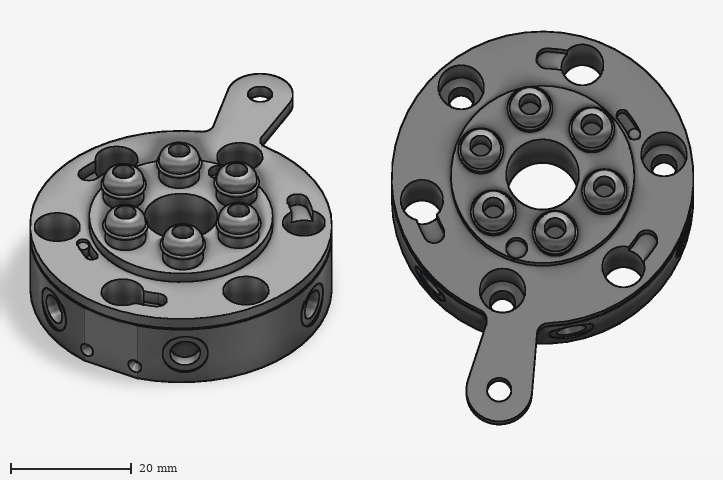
import cadquery as cq
import math

body_radius = 25.0
body_top = 11.15
seal_radius = 24.85
lid_bottom = 11.35
lid_top = 13.45
centre_bore_dia = 12.0
front_flat_width = 9.95

tab_angle = 7.7
tab_reach = 37.1
tab_end_radius = 5.45
tab_taper = 6.5
tab_root_radius = 20.15
tab_hole_dia = 4.0
tab_fillet = 1.95

disc_dia = 30.4
disc_top = 15.25
locator_dia = 3.5
locator_reach = 13.3

stud_count = 6
stud_reach = 10.8
stud_radius = 3.35
stud_bore_radius = 1.75
bead_radius = 0.37
bead_middle = 17.9
dome_start = 18.7
dome_radius = 1.95

clearance_reach = 20.35
screw_reach = 20.5
clearance_angles = (30, 150, 270)
clearance_dia = 7.0
key_slot_width = 3.5
key_slot_sweep = 16.8
screw_angles = (90, 210, 330)
screw_dia = 4.2
screw_head_dia = 7.5
screw_head_depth = 8.05

index_reach = 16.95
index_width = 2.0
index_start = 225
index_sweep = 12.5
pin_recess = 0.6

port_count = 6
port_height = 5.9
port_face_dia = 7.5
port_face_reach = 24.65
port_dia = 5.0
port_depth = 2.1
seat_angles = (259.7, 280.3)
seat_height = 2.4
seat_dia = 2.5
seat_tip_dia = 1.1
seat_depth = 1.75


def polar(reach, angle):
    """Point at a distance from the Z axis and an angle in degrees from +X."""
    return (reach * math.cos(math.radians(angle)), reach * math.sin(math.radians(angle)))


def cylinder(dia, bottom, top, centre=(0, 0)):
    return cq.Workplane("XY", origin=(*centre, bottom)).circle(dia / 2).extrude(top - bottom)


def radial_plane(angle, reach, height):
    """Workplane facing outward from the Z axis."""
    direction = polar(1, angle)
    origin = (*polar(reach, angle), height)
    tangent = (-direction[1], direction[0], 0)
    return cq.Workplane(cq.Plane(origin, tangent, (*direction, 0)))


def arc_slot(reach, width, start, sweep, bottom, top):
    """Round-ended slot that follows a circle about the Z axis."""
    inner = reach - width / 2
    outer = reach + width / 2
    middle = start + sweep / 2
    end = start + sweep
    band = (
        cq.Workplane("XY", origin=(0, 0, bottom))
        .moveTo(*polar(inner, start))
        .threePointArc(polar(inner, middle), polar(inner, end))
        .lineTo(*polar(outer, end))
        .threePointArc(polar(outer, middle), polar(outer, start))
        .close()
        .extrude(top - bottom)
    )
    for angle in (start, end):
        band = band.union(cylinder(width, bottom, top, polar(reach, angle)))
    return band


def make_body():
    body = cylinder(2 * body_radius, 0, body_top)
    flat_reach = math.sqrt(body_radius**2 - (front_flat_width / 2) ** 2)
    offcut = cq.Workplane("XY").box(
        front_flat_width, body_radius, body_top, centered=(True, False, False)
    ).translate((0, -flat_reach - body_radius, 0))
    return body.cut(offcut)


def make_lid():
    lid = cylinder(2 * body_radius, lid_bottom, lid_top)
    taper = math.radians(tab_taper)
    shoulder_x = tab_end_radius * math.cos(taper)
    shoulder_y = tab_reach - tab_end_radius * math.sin(taper)
    root_x = shoulder_x - (shoulder_y - tab_root_radius) * math.tan(taper)
    tab = (
        cq.Workplane("XY", origin=(0, 0, lid_bottom))
        .moveTo(-root_x, tab_root_radius)
        .lineTo(root_x, tab_root_radius)
        .lineTo(shoulder_x, shoulder_y)
        .threePointArc((0, tab_reach + tab_end_radius), (-shoulder_x, shoulder_y))
        .close()
        .extrude(lid_top - lid_bottom)
    )
    root_zone = cq.selectors.BoxSelector(
        (-tab_end_radius, tab_root_radius, body_top),
        (tab_end_radius, body_radius + tab_fillet, lid_top + tab_fillet),
    )
    lid = lid.union(tab).edges("|Z").edges(root_zone).fillet(tab_fillet)
    lid = lid.cut(cylinder(tab_hole_dia, lid_bottom, lid_top, (0, tab_reach)))
    return lid.rotate((0, 0, 0), (0, 0, 1), tab_angle)


def make_stud():
    dome_centre = stud_radius - dome_radius
    lip_rise = math.sqrt(dome_radius**2 - (stud_bore_radius - dome_centre) ** 2)
    diagonal = dome_radius * math.sqrt(0.5)
    dome_middle = (dome_centre + diagonal, dome_start + diagonal)
    return (
        cq.Workplane("XZ")
        .moveTo(0, disc_top)
        .lineTo(stud_radius, disc_top)
        .lineTo(stud_radius, bead_middle - bead_radius)
        .threePointArc((stud_radius + bead_radius, bead_middle), (stud_radius, bead_middle + bead_radius))
        .lineTo(stud_radius, dome_start)
        .threePointArc(dome_middle, (stud_bore_radius, dome_start + lip_rise))
        .lineTo(stud_bore_radius, disc_top)
        .lineTo(0, disc_top)
        .close()
        .revolve(360, (0, 0, 0), (0, 1, 0))
    )


seal = cylinder(2 * seal_radius, body_top, lid_bottom)
result = make_body().union(seal).union(make_lid()).union(cylinder(disc_dia, lid_top, disc_top))

for index in range(stud_count):
    result = result.union(make_stud().translate((*polar(stud_reach, index * 360 / stud_count), 0)))

result = result.cut(cylinder(centre_bore_dia, 0, disc_top))
result = result.cut(cylinder(locator_dia, lid_top, disc_top, (0, locator_reach)))

for angle in clearance_angles:
    result = result.cut(cylinder(clearance_dia, 0, lid_top, polar(clearance_reach, angle)))
    result = result.cut(arc_slot(clearance_reach, key_slot_width, angle, key_slot_sweep, body_top, lid_top))

for angle in screw_angles:
    result = result.cut(cylinder(screw_dia, 0, lid_top, polar(screw_reach, angle)))
    result = result.cut(
        cylinder(screw_head_dia, lid_top - screw_head_depth, lid_top, polar(screw_reach, angle))
    )

result = result.cut(arc_slot(index_reach, index_width, index_start, index_sweep, body_top, lid_top))
result = result.union(
    cylinder(index_width, body_top, lid_top - pin_recess, polar(index_reach, index_start))
)

for index in range(port_count):
    face = radial_plane(index * 360 / port_count, port_face_reach, port_height)
    result = result.cut(face.circle(port_face_dia / 2).extrude(body_radius - port_face_reach))
    result = result.cut(face.circle(port_dia / 2).extrude(-port_depth))

for angle in seat_angles:
    mouth = radial_plane(angle, body_radius, seat_height)
    cone = mouth.circle(seat_dia / 2).workplane(offset=-seat_depth).circle(seat_tip_dia / 2).loft()
    result = result.cut(cone)